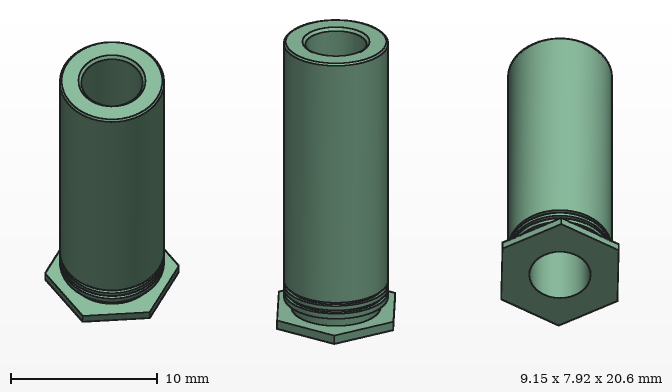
import cadquery as cq
import math

TOTAL_HEIGHT = 20.64

HEAD_ACROSS_FLATS = 7.92
HEAD_THICKNESS = 0.64
HEAD_SIDES = 6

BODY_DIAMETER = 7.11
NECK_DIAMETER = 6.1
NECK_TOP = 1.42
RIM_CHAMFER = 0.13

GROOVE_DIAMETER = 6.6
GROOVE_WIDTH = 0.26
GROOVE_BOTTOMS = (1.8, 2.38)

BORE_DIAMETER = 4.17
MOUTH_DIAMETER = 4.57


def make_head():
    across_corners = HEAD_ACROSS_FLATS / math.cos(math.pi / HEAD_SIDES)
    return cq.Workplane("XY").polygon(HEAD_SIDES, across_corners).extrude(HEAD_THICKNESS)


def make_shank():
    neck = (
        cq.Workplane("XY")
        .workplane(offset=HEAD_THICKNESS)
        .circle(NECK_DIAMETER / 2)
        .extrude(NECK_TOP - HEAD_THICKNESS)
    )
    body = (
        cq.Workplane("XY")
        .workplane(offset=NECK_TOP)
        .circle(BODY_DIAMETER / 2)
        .extrude(TOTAL_HEIGHT - NECK_TOP)
        .faces(">Z")
        .chamfer(RIM_CHAMFER)
    )
    return neck.union(body)


def make_groove_cutter(bottom):
    ring_outer_radius = BODY_DIAMETER
    return (
        cq.Workplane("XY")
        .workplane(offset=bottom)
        .circle(ring_outer_radius)
        .circle(GROOVE_DIAMETER / 2)
        .extrude(GROOVE_WIDTH)
    )


def cut_bore(part):
    mouth_chamfer = (MOUTH_DIAMETER - BORE_DIAMETER) / 2
    return (
        part.faces(">Z")
        .workplane(origin=(0, 0, TOTAL_HEIGHT))
        .circle(BORE_DIAMETER / 2)
        .cutThruAll()
        .faces(">Z")
        .edges(cq.selectors.RadiusNthSelector(0))
        .chamfer(mouth_chamfer)
    )


shank = make_shank()
for groove_bottom in GROOVE_BOTTOMS:
    shank = shank.cut(make_groove_cutter(groove_bottom))

result = cut_bore(make_head().union(shank))